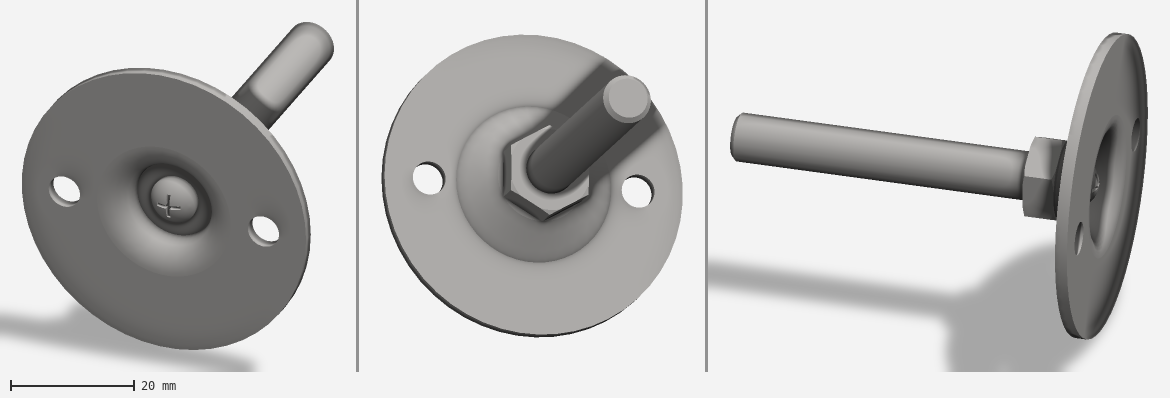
import cadquery as cq
import math

total_length = 62.5

plate_diameter = 50.0
plate_thickness = 2.0
mount_hole_diameter = 5.5
mount_hole_spacing = 35.0

cone_base_radius = 13.0
cone_top_radius = 7.25
cone_top_y = 6.8
neck_radius = 6.4

nut_start_y = 7.3
nut_end_y = 12.5
nut_across_flats = 13.0
nut_corner_diameter = nut_across_flats / math.cos(math.pi / 6)
nut_bevel_height = 0.3
nut_bevel_width = 0.75

stud_diameter = 8.0
stud_radius = stud_diameter / 2
stud_end_bevel = 0.75

recess_floor_radius = 6.75
recess_lip_radius = 5.0
recess_mouth_radius = recess_floor_radius + recess_lip_radius
recess_depth = 5.0

head_rim_height = 0.9
head_dome_height = 2.6
cross_length = 4.1
cross_width = 0.6
cross_depth = 1.0


def revolve_about_axis(profile):
    """Revolve a closed (radius, Y) profile around the Y axis."""
    return profile.close().revolve(360, (0, 0, 0), (0, 1, 0))


def cylinder(diameter, start_y, end_y):
    """Cylinder on the Y axis between two Y positions."""
    plane = cq.Workplane("XZ", origin=(0, start_y, 0))
    return plane.circle(diameter / 2).extrude(start_y - end_y)


def make_base():
    """Flat plate with its conical hub, ending in a short tapered neck."""
    plate = cylinder(plate_diameter, 0, plate_thickness)
    hub = revolve_about_axis(
        cq.Workplane("XY")
        .moveTo(0, plate_thickness)
        .lineTo(cone_base_radius, plate_thickness)
        .lineTo(cone_top_radius, cone_top_y)
        .lineTo(neck_radius, nut_start_y)
        .lineTo(0, nut_start_y)
    )
    return plate.union(hub)


def make_mount_holes():
    """Pair of holes through the plate, spaced along X."""
    hole = cylinder(mount_hole_diameter, 0, plate_thickness)
    offset = mount_hole_spacing / 2
    return hole.translate((-offset, 0, 0)).union(hole.translate((offset, 0, 0)))


def make_recess():
    """Front recess with a flared, convex wall and a flat floor."""
    lip_diagonal = recess_lip_radius * math.sqrt(0.5)
    lip_middle = (recess_mouth_radius - lip_diagonal, recess_lip_radius - lip_diagonal)
    return revolve_about_axis(
        cq.Workplane("XY")
        .lineTo(recess_mouth_radius, 0)
        .threePointArc(lip_middle, (recess_floor_radius, recess_lip_radius))
        .lineTo(0, recess_depth)
    )


def make_nut():
    """Hex nut with corners on the Z axis and bevelled corners at both ends."""
    hexagon = (
        cq.Workplane("XZ", origin=(0, nut_start_y, 0))
        .transformed(rotate=(0, 0, 90))
        .polygon(6, nut_corner_diameter)
        .extrude(nut_start_y - nut_end_y)
    )
    corner_radius = nut_corner_diameter / 2
    end_radius = corner_radius - nut_bevel_width
    envelope = revolve_about_axis(
        cq.Workplane("XY")
        .moveTo(0, nut_start_y)
        .lineTo(end_radius, nut_start_y)
        .lineTo(corner_radius, nut_start_y + nut_bevel_height)
        .lineTo(corner_radius, nut_end_y - nut_bevel_height)
        .lineTo(end_radius, nut_end_y)
        .lineTo(0, nut_end_y)
    )
    return hexagon.intersect(envelope)


def make_stud():
    """Round stud from the nut to the bevelled far end."""
    stud = cylinder(stud_diameter, nut_start_y, total_length)
    return stud.faces(">Y").chamfer(stud_end_bevel)


def make_head():
    """Domed screw head on the recess floor, with a cross slot in its crown."""
    rim_y = recess_depth - head_rim_height
    crown_y = rim_y - head_dome_height
    dome_radius = (stud_radius**2 + head_dome_height**2) / (2 * head_dome_height)
    dome_centre_y = crown_y + dome_radius
    half_angle = math.asin(stud_radius / dome_radius) / 2
    dome_middle = (
        dome_radius * math.sin(half_angle),
        dome_centre_y - dome_radius * math.cos(half_angle),
    )
    head = revolve_about_axis(
        cq.Workplane("XY")
        .moveTo(0, crown_y)
        .threePointArc(dome_middle, (stud_radius, rim_y))
        .lineTo(stud_radius, recess_depth)
        .lineTo(0, recess_depth)
    )
    slot_plane = cq.Workplane("XZ", origin=(0, crown_y, 0))
    for length_x, length_z in ((cross_length, cross_width), (cross_width, cross_length)):
        head = head.cut(slot_plane.rect(length_x, length_z).extrude(-cross_depth))
    return head


base = make_base().cut(make_mount_holes()).cut(make_recess())
result = base.union(make_nut()).union(make_stud()).union(make_head())